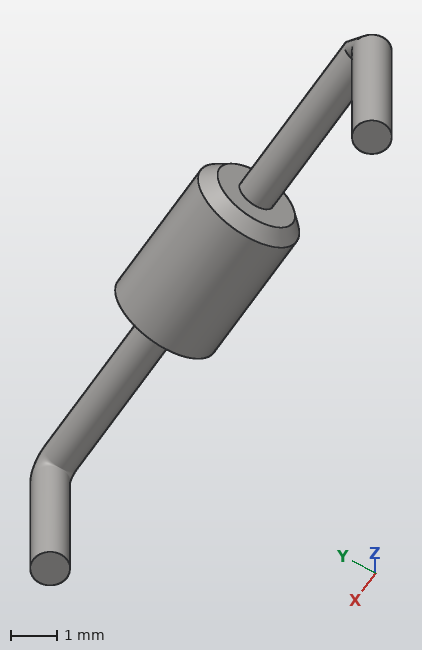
import cadquery as cq
import math

overall_length = 13.96
overall_height = 5.2

body_diameter = 2.6
body_length = 3.69
body_chamfer = 0.31

wire_diameter = 0.87
wire_radius = wire_diameter / 2
inner_bend_radius = 0.003

body_end = body_length / 2
bend_start = overall_length / 2 - wire_diameter - inner_bend_radius
leg_center = overall_length / 2 - wire_radius
leg_top = -wire_radius - inner_bend_radius
leg_bottom = body_diameter / 2 - overall_height


def make_body():
    """Cylinder along X, chamfered around its -X end."""
    body = cq.Workplane("YZ", origin=(-body_end, 0, 0)).circle(body_diameter / 2).extrude(body_length)
    return body.faces("<X").chamfer(body_chamfer)


def make_straight_wires(side):
    """Horizontal wire from the body face to the bend, and the vertical leg below the bend."""
    horizontal = (
        cq.Workplane("YZ", origin=(side * body_end, 0, 0))
        .circle(wire_radius)
        .extrude(side * (bend_start - body_end))
    )
    leg = (
        cq.Workplane("XY", origin=(side * leg_center, 0, leg_bottom))
        .circle(wire_radius)
        .extrude(leg_top - leg_bottom)
    )
    return horizontal, leg


def make_mitred_bend():
    """Elliptical cylinder sloping at 45 degrees, cut flush with both round wire ends."""
    corner_size = wire_diameter + inner_bend_radius
    tube_length = 4 * wire_diameter
    tube_start = (-leg_center - wire_diameter, 0, leg_top - wire_diameter)
    slope = cq.Plane(origin=tube_start, xDir=(0, 1, 0), normal=(1, 0, 1))
    tube = (
        cq.Workplane(slope)
        .ellipse(wire_radius, wire_radius / math.sqrt(2))
        .extrude(tube_length)
    )
    corner = cq.Workplane("XY", origin=(-bend_start - corner_size, 0, leg_top)).box(
        corner_size, wire_diameter, corner_size, centered=(False, True, False)
    )
    return tube.intersect(corner)


def make_round_bend():
    """Wire end swept a quarter turn about the inner corner of the bend."""
    return (
        cq.Workplane("YZ", origin=(bend_start, 0, 0))
        .circle(wire_radius)
        .revolve(90, (-wire_radius, leg_top, 0), (wire_radius, leg_top, 0))
    )


def make_lead(side, bend):
    """One lead as a single solid: horizontal wire, bend and leg."""
    horizontal, leg = make_straight_wires(side)
    return horizontal.union(bend).union(leg)


body = make_body()
mitred_lead = make_lead(-1, make_mitred_bend())
round_lead = make_lead(1, make_round_bend())

result = cq.Compound.makeCompound([body.val(), mitred_lead.val(), round_lead.val()])